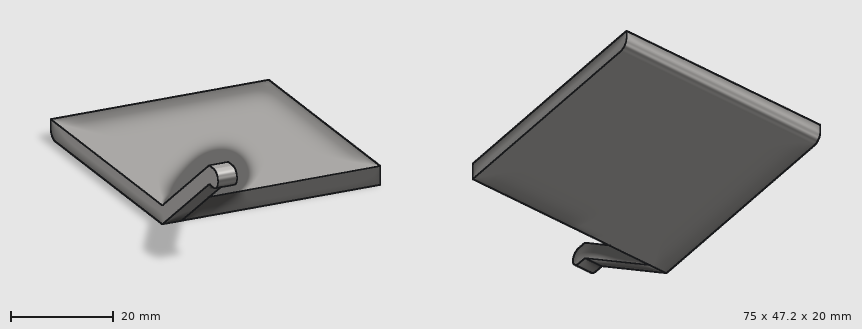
import cadquery as cq

length = 75.0
width = 47.25
height = 20.0

plate_length = 50.0
thickness = 4.0
arm_width = 4.1
edge_radius = 2.0
tip_length = 4.0
tip_radius = thickness / 2
tip_start = length - tip_length
tip_bottom = height - thickness


def make_plate():
    """Flat plate with its lower -X edge rounded."""
    plate = cq.Workplane("XY").box(plate_length, width, thickness, centered=False)
    return plate.edges("<X and <Z").fillet(edge_radius)


def make_arm():
    """Narrow sloping arm ending in a short level tip with a round nose."""
    outline = (
        cq.Workplane("XZ")
        .moveTo(plate_length, 0)
        .lineTo(tip_start, tip_bottom)
        .lineTo(length - tip_radius, tip_bottom)
        .threePointArc((length, height - tip_radius), (length - tip_radius, height))
        .lineTo(tip_start, height)
        .lineTo(plate_length, thickness)
        .close()
    )
    return outline.extrude(-arm_width)


result = make_plate().union(make_arm())